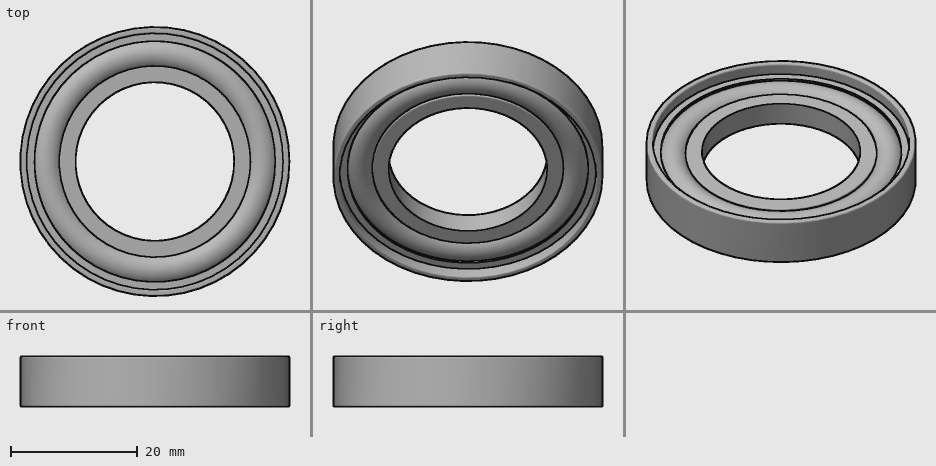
import cadquery as cq

outer_radius = 21.25
case_height = 8.0
case_wall = 1.0
rim_fillet = 0.3
web_height = 4.0
web_inner_radius = 19.0
bead_radius = 2.5
hub_bore_radius = 12.5
hub_outer_radius = 15.1
hub_fillet = 0.2

bead_path_radius = (web_inner_radius + hub_outer_radius) / 2
case_inner_radius = outer_radius - case_wall


def ring(outer, inner, height):
    """Flat ring centred on the origin."""
    return cq.Workplane("XY").circle(outer).circle(inner).extrude(height).translate((0, 0, -height / 2))


def make_case():
    """Outer sleeve with rounded rims and an inward web at mid height."""
    sleeve = ring(outer_radius, case_inner_radius, case_height)
    sleeve = sleeve.faces("<Z or >Z").edges().fillet(rim_fillet)
    return sleeve.union(ring(outer_radius - case_wall / 2, web_inner_radius, web_height))


def make_bead():
    """Round-section ring between the case web and the hub."""
    return cq.Workplane(cq.Solid.makeTorus(bead_path_radius, bead_radius))


def make_hub():
    """Inner ring with rounded outer edges."""
    hub = ring(hub_outer_radius, hub_bore_radius, web_height)
    return hub.edges(cq.selectors.RadiusNthSelector(-1)).fillet(hub_fillet)


bead = make_bead()
case = make_case().cut(bead)
hub = make_hub().cut(bead)
result = cq.Compound.makeCompound([case.val(), bead.val(), hub.val()])